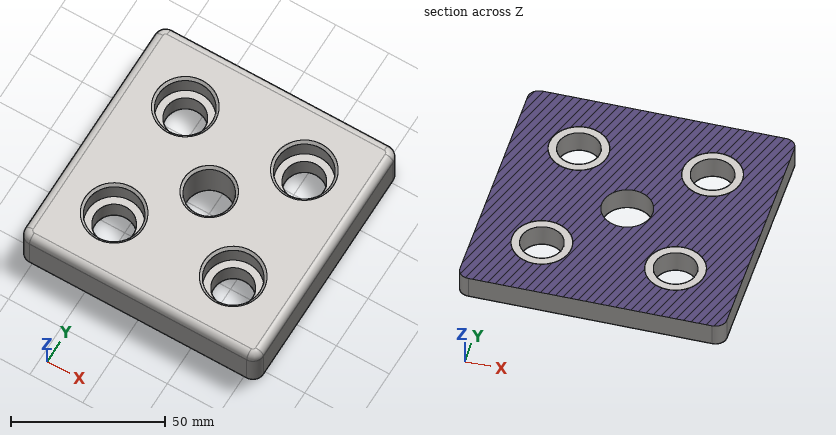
import cadquery as cq

side = 90.0
height = 16.0
corner_radius = 4.0
top_fillet = 3.0

bolt_spacing = side / 2
bolt_diameter = 14.5
counterbore_diameter = 20.0
counterbore_depth = height / 2

center_diameter = 17.0

mouth_chamfer = 1.0


def make_plate():
    """Square plate with rounded corners and a rounded top rim."""
    plate = cq.Workplane("XY").box(side, side, height, centered=(True, True, False))
    plate = plate.edges("|Z").fillet(corner_radius)
    return plate.faces(">Z").edges().fillet(top_fillet)


def bore(diameter, depth):
    """Cylinder on the Z axis reaching down from the top face."""
    return cq.Workplane("XY").workplane(offset=height - depth).circle(diameter / 2).extrude(depth)


def mouth(diameter):
    """Cone for a 45 degree chamfer where a bore meets the top face."""
    radius = diameter / 2
    base = cq.Vector(0, 0, height - mouth_chamfer)
    cone = cq.Solid.makeCone(radius, radius + mouth_chamfer, mouth_chamfer, base)
    return cq.Workplane(cone)


bolt_cutter = (
    bore(bolt_diameter, height)
    .union(bore(counterbore_diameter, counterbore_depth))
    .union(mouth(counterbore_diameter))
)
center_cutter = bore(center_diameter, height).union(mouth(center_diameter))

result = make_plate().cut(center_cutter)
for x_sign in (-1, 1):
    for y_sign in (-1, 1):
        bolt_position = (x_sign * bolt_spacing / 2, y_sign * bolt_spacing / 2, 0)
        result = result.cut(bolt_cutter.translate(bolt_position))